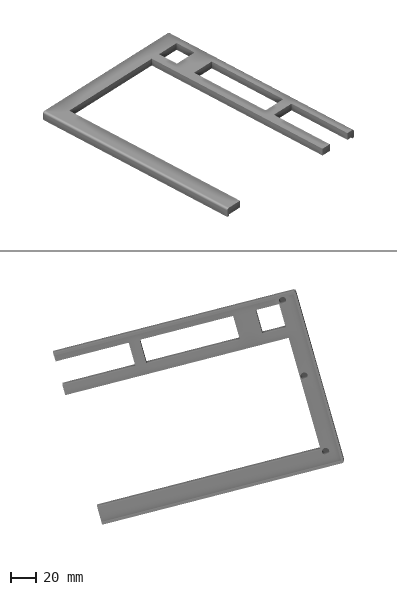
import cadquery as cq

length = 198.88
width = 148.38
thickness = 8.0
edge_radius = 2.0

recess_depth = 1.5
lip_width = 2.0

spine_width = 15.5
front_arm_width = 14.9
rail_width = 7.5
cross_arm_width = 8.5
slot_width = 20.7

first_window_length = 19.2
wide_bridge_length = 18.5
second_window_length = 76.7
narrow_bridge_length = 9.0

pocket_diameter = 5.7
pocket_roof = 0.3
pocket_x = 12.0
first_pocket_y = 12.5
pocket_pitch = 65.3
pocket_count = 3

slot_back = width - rail_width
slot_front = slot_back - slot_width
bay_back = slot_front - cross_arm_width


def cutter(x_start, x_end, y_start, y_end, height):
    """Rectangular block standing on the bottom plane, used for removing material."""
    return cq.Workplane("XY").box(
        x_end - x_start, y_end - y_start, height, centered=False
    ).translate((x_start, y_start, 0))


def rounded_plate():
    """Plate rounded on the upright left corners and the front, left and back top edges."""
    plate = cq.Workplane("XY").box(length, width, thickness, centered=False)
    return plate.edges("(|Z and <X) or (>Z and (<X or <Y or >Y))").fillet(edge_radius)


def recess_underside(body):
    """Recess the underside inside the left, front and back lips, open at the right end."""
    recess = cutter(lip_width, length, lip_width, width - lip_width, recess_depth)
    return body.cut(recess)


def cut_openings(body):
    """Open the main bay, the two windows and the slot between the arm ends."""
    first_end = spine_width + first_window_length
    second_start = first_end + wide_bridge_length
    second_end = second_start + second_window_length
    end_slot_start = second_end + narrow_bridge_length
    body = body.cut(cutter(spine_width, length, front_arm_width, bay_back, thickness))
    slot_stretches = [
        (spine_width, first_end),
        (second_start, second_end),
        (end_slot_start, length),
    ]
    for x_start, x_end in slot_stretches:
        body = body.cut(cutter(x_start, x_end, slot_front, slot_back, thickness))
    return body


def cut_pockets(body):
    """Sink a row of round blind pockets into the underside of the spine."""
    for index in range(pocket_count):
        y = first_pocket_y + index * pocket_pitch
        pocket = cq.Workplane("XY").center(pocket_x, y).circle(pocket_diameter / 2)
        body = body.cut(pocket.extrude(thickness - pocket_roof))
    return body


result = cut_pockets(cut_openings(recess_underside(rounded_plate())))